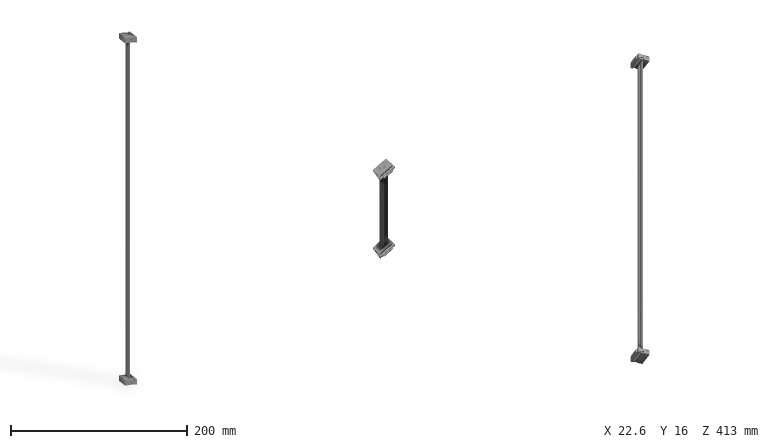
import cadquery as cq
import math


total_length = 413.0
front_y = -8.0
rear_y = 8.0

contact_columns = 7
contact_rows = 2
contact_row_length = 15.3
contact_pitch = contact_row_length / (contact_columns - 1)
wire_pitch = contact_pitch / 2
wire_fusion = 0.035
wire_radius = (wire_pitch + wire_fusion) / 2
cable_wires = 10
connector_wires = contact_columns * contact_rows
cable_y = -0.6

connector_height = 6.0
socket_width = 20.5
socket_depth = cable_y - front_y
nose_length = 1.5
nose_inset = 0.5
contact_hole_size = 2.0
contact_tip_size = 0.05
contact_point_angle = 45
contact_point_depth = (contact_hole_size - contact_tip_size) / 2
contact_back_wall = 2.2
contact_hole_depth = socket_depth - contact_back_wall
key_width = 5.0
key_height = 1.0
key_setback = 1.0
key_depth = socket_depth - key_setback
side_recess_length = 2.5
side_recess_height = 4.0
side_recess_z = (connector_height - side_recess_height) / 2
side_recess_depth = 1.0
side_recess_front = 1.2

cover_width = 19.5
cover_front_y = 1.0
cover_rear_y = 3.25

strap_gap = 0.5
arm_thickness = 1.53
strap_width = cover_width + 2 * arm_thickness
strap_front_y = cover_rear_y + strap_gap
fold_y = cover_rear_y + strap_gap / 2
pad_width = 14.0
pad_height = 3.5
pad_thickness = 1.55
plate_rear_y = rear_y - pad_thickness
arm_low_z = 0.6
arm_tip_low_z = 1.85
arm_step_length = 2.27
arm_high_z = 4.35

lower_z = -total_length / 2
upper_z = total_length / 2 - connector_height - key_height


def box(x_range, y_range, z_range):
    """A box between pairs of limits along X, Y and Z."""
    sides = [high - low for low, high in (x_range, y_range, z_range)]
    return cq.Workplane("XY").box(*sides, centered=False).translate((x_range[0], y_range[0], z_range[0]))


def centred(width):
    return (-width / 2, width / 2)


def ribbon(wire_count, centre_y, length):
    """Side-by-side round wires merged into one ribbon, rising from z = 0."""
    valley = math.sqrt(wire_radius**2 - (wire_pitch / 2) ** 2)
    left_x = -wire_count * wire_pitch / 2
    right_x = -left_x
    outline = cq.Workplane("XY").moveTo(left_x, centre_y - valley)
    for wire in range(wire_count):
        start_x = left_x + wire * wire_pitch
        outline = outline.threePointArc(
            (start_x + wire_pitch / 2, centre_y - wire_radius),
            (start_x + wire_pitch, centre_y - valley),
        )
    outline = outline.lineTo(right_x, centre_y + valley)
    for wire in range(wire_count):
        start_x = right_x - wire * wire_pitch
        outline = outline.threePointArc(
            (start_x - wire_pitch / 2, centre_y + wire_radius),
            (start_x - wire_pitch, centre_y + valley),
        )
    return outline.close().extrude(length)


def tapered_block(width, depth, height):
    """A block whose two sides narrow towards the front face."""
    half_width = width / 2
    taper_y = front_y + nose_length
    return (
        cq.Workplane("XY")
        .moveTo(-half_width, front_y + depth)
        .lineTo(-half_width, taper_y)
        .lineTo(-half_width + nose_inset, front_y)
        .lineTo(half_width - nose_inset, front_y)
        .lineTo(half_width, taper_y)
        .lineTo(half_width, front_y + depth)
        .close()
        .extrude(height)
    )


def contact_hole(x, z):
    """A square hole into the front face, ending in a pyramid."""
    hole = (
        cq.Workplane("XZ", origin=(x, front_y, z))
        .rect(contact_hole_size, contact_hole_size)
        .extrude(-contact_hole_depth)
    )
    point = (
        cq.Workplane("XZ", origin=(x, front_y + contact_hole_depth, z))
        .rect(contact_hole_size, contact_hole_size)
        .extrude(-contact_point_depth, taper=contact_point_angle)
    )
    return hole.union(point)


def make_socket():
    socket = tapered_block(socket_width, socket_depth, connector_height)
    key = tapered_block(key_width, key_depth, connector_height + key_height)
    tongue = box(centred(cover_width), (cable_y, cover_front_y), (0, connector_height))
    socket = socket.union(key).union(tongue)

    for column in range(contact_columns):
        for row in range(contact_rows):
            x = (column - (contact_columns - 1) / 2) * contact_pitch
            z = connector_height / 2 + (row - (contact_rows - 1) / 2) * contact_pitch
            socket = socket.cut(contact_hole(x, z))

    recess_y = front_y + side_recess_front
    for side in (-1, 1):
        recess = box(
            centred(2 * side_recess_depth),
            (recess_y, recess_y + side_recess_length),
            (side_recess_z, side_recess_z + side_recess_height),
        )
        socket = socket.cut(recess.translate((side * socket_width / 2, 0, 0)))

    return socket.cut(ribbon(cable_wires, cable_y, connector_height))


def make_cover():
    cover = box(centred(cover_width), (cover_front_y, cover_rear_y), (0, connector_height))
    return cover.cut(ribbon(connector_wires, fold_y, connector_height))


def make_strap():
    strap = box(centred(strap_width), (strap_front_y, plate_rear_y), (0, connector_height))
    strap = strap.cut(ribbon(connector_wires, fold_y, connector_height))

    pad_z = (connector_height - pad_height) / 2
    strap = strap.union(box(centred(pad_width), (plate_rear_y, rear_y), (pad_z, pad_z + pad_height)))

    arm = (
        cq.Workplane("YZ")
        .moveTo(strap_front_y, arm_low_z)
        .lineTo(strap_front_y, arm_high_z)
        .lineTo(cable_y, arm_high_z)
        .lineTo(cable_y, arm_tip_low_z)
        .lineTo(strap_front_y - arm_step_length, arm_tip_low_z)
        .lineTo(strap_front_y - arm_step_length, arm_low_z)
        .close()
        .extrude(arm_thickness)
    )
    for arm_x in (-strap_width / 2, cover_width / 2):
        strap = strap.union(arm.translate((arm_x, 0, 0)))
    return strap


def turned_over(body):
    """The body turned half a turn about the Y direction, still standing on z = 0."""
    middle = connector_height / 2
    return body.rotate((0, 0, middle), (0, 1, middle), 180)


socket = make_socket()
cover = make_cover()
strap = make_strap()

cable = ribbon(cable_wires, cable_y, upper_z + connector_height - lower_z).translate((0, 0, lower_z))
lower_bodies = [body.translate((0, 0, lower_z)) for body in (socket, cover, strap)]
upper_bodies = [
    body.translate((0, 0, upper_z)) for body in (socket, turned_over(cover), turned_over(strap))
]

result = cq.Compound.makeCompound([body.val() for body in (cable, *lower_bodies, *upper_bodies)])